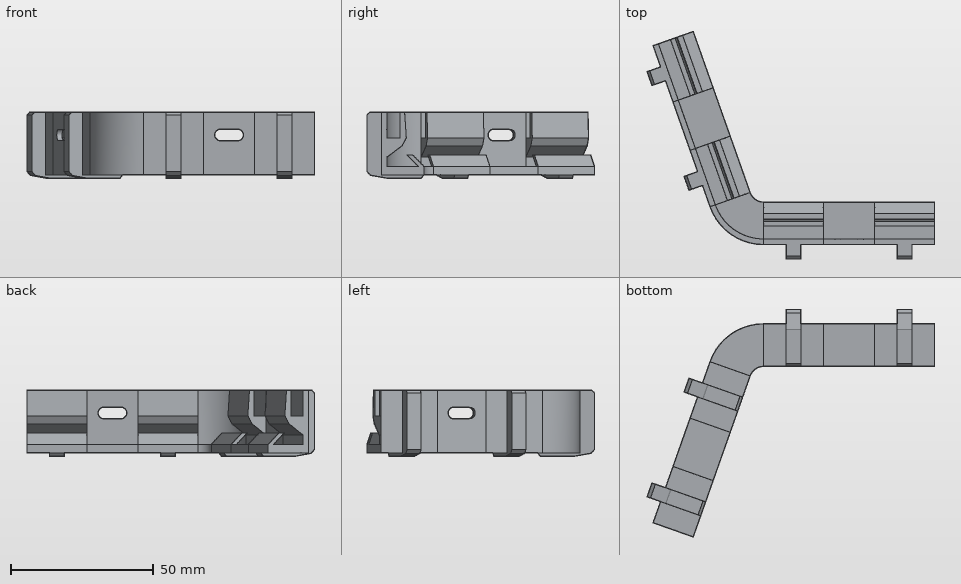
import cadquery as cq
import math


inner_radius = 5.0
outer_radius = 20.0
channel_height = 22.0
wall_thickness = 2.0
floor_thickness = 3.0
outer_face_y = -outer_radius
inner_edge_y = -inner_radius

arm_angle = math.degrees(math.acos(-1 / 3))
turn_angle = 180.0 - arm_angle
clip_length = 21.0
plate_length = 18.0
near_clip_start = 0.0
plate_start = near_clip_start + clip_length
far_clip_start = plate_start + plate_length

slot_length = 10.0
slot_height = 4.0
slot_center_z = 14.0

gap_floor_z = 13.0
hook_outer_depth = 6.5
hook_top_depth = 8.2
hook_bulge_depth = 8.8
brace_knee_depth = 7.3
brace_knee_z = 10.2
brace_foot_z = 6.2

lip_rise = 4.0
lip_width = 2.0
lip_top_z = floor_thickness + lip_rise
lip_tip_y = inner_edge_y - lip_rise

rib_width = 5.2
rib_reach = 5.03
rib_drop = 1.21
rib_top_chamfer = 1.0
rib_toe_start_z = 1.1
rib_toe_chamfer = 1.3
rib_slope_end_depth = 2.0
rib_heel_chamfer = 1.0


def base_outline():
    """L-shaped wall and floor outline in the YZ plane."""
    wall_inner_y = outer_face_y + wall_thickness
    return (
        cq.Workplane("YZ")
        .moveTo(outer_face_y, 0)
        .lineTo(inner_edge_y, 0)
        .lineTo(inner_edge_y, floor_thickness)
        .lineTo(wall_inner_y, floor_thickness)
        .lineTo(wall_inner_y, channel_height)
        .lineTo(outer_face_y, channel_height)
        .close()
    )


def make_corner():
    """Wall and floor swept around the Z axis, starting at the first arm."""
    return base_outline().revolve(turn_angle, (0, 0, 0), (0, -1, 0))


def make_plate():
    """Plain arm segment with a round-ended slot through its wall."""
    plate = base_outline().extrude(plate_length)
    slot = (
        cq.Workplane("XZ", origin=(plate_length / 2, outer_face_y, slot_center_z))
        .slot2D(slot_length, slot_height)
        .extrude(-wall_thickness)
    )
    return plate.cut(slot)


def make_hook():
    """Upright hook held off the wall by a brace with a kinked, sloping underside."""
    wall_inner_y = outer_face_y + wall_thickness
    return (
        cq.Workplane("YZ")
        .moveTo(wall_inner_y, brace_foot_z)
        .lineTo(outer_face_y + brace_knee_depth, brace_knee_z)
        .lineTo(outer_face_y + hook_bulge_depth, gap_floor_z)
        .lineTo(outer_face_y + hook_top_depth, channel_height)
        .lineTo(outer_face_y + hook_outer_depth, channel_height)
        .lineTo(outer_face_y + hook_outer_depth, gap_floor_z)
        .lineTo(wall_inner_y, gap_floor_z)
        .close()
        .extrude(clip_length)
    )


def make_lip():
    """Slanted lip that leans over the floor toward the hook."""
    return (
        cq.Workplane("YZ")
        .moveTo(inner_edge_y, floor_thickness)
        .lineTo(lip_tip_y, lip_top_z)
        .lineTo(lip_tip_y - lip_width, lip_top_z)
        .lineTo(inner_edge_y - lip_width, floor_thickness)
        .close()
        .extrude(clip_length)
    )


def make_rib():
    """Rib standing on the outer face and running under the floor, centred along the clip."""
    rib_face_y = outer_face_y - rib_reach
    return (
        cq.Workplane("YZ", origin=((clip_length - rib_width) / 2, 0, 0))
        .moveTo(outer_face_y, channel_height)
        .lineTo(rib_face_y + rib_top_chamfer, channel_height)
        .lineTo(rib_face_y, channel_height - rib_top_chamfer)
        .lineTo(rib_face_y, rib_toe_start_z)
        .lineTo(rib_face_y + rib_toe_chamfer, rib_toe_start_z - rib_toe_chamfer)
        .lineTo(outer_face_y + rib_slope_end_depth, -rib_drop)
        .lineTo(inner_edge_y - rib_heel_chamfer, -rib_drop)
        .lineTo(inner_edge_y, 0)
        .lineTo(outer_face_y, 0)
        .close()
        .extrude(rib_width)
    )


def make_clip():
    """Arm segment with a hook, a lip and an outside rib."""
    clip = base_outline().extrude(clip_length)
    for feature in (make_hook(), make_lip(), make_rib()):
        clip = clip.union(feature)
    return clip


def to_second_arm(body):
    """Mirror a body of the first arm and turn it onto the second arm."""
    return body.mirror("YZ").rotate((0, 0, 0), (0, 0, 1), -turn_angle)


corner = make_corner()

first_arm = [
    make_clip().translate((near_clip_start, 0, 0)),
    make_plate().translate((plate_start, 0, 0)),
    make_clip().translate((far_clip_start, 0, 0)),
]
second_arm = [to_second_arm(body) for body in first_arm]

bodies = [corner, *first_arm, *second_arm]
result = cq.Compound.makeCompound([body.val() for body in bodies])